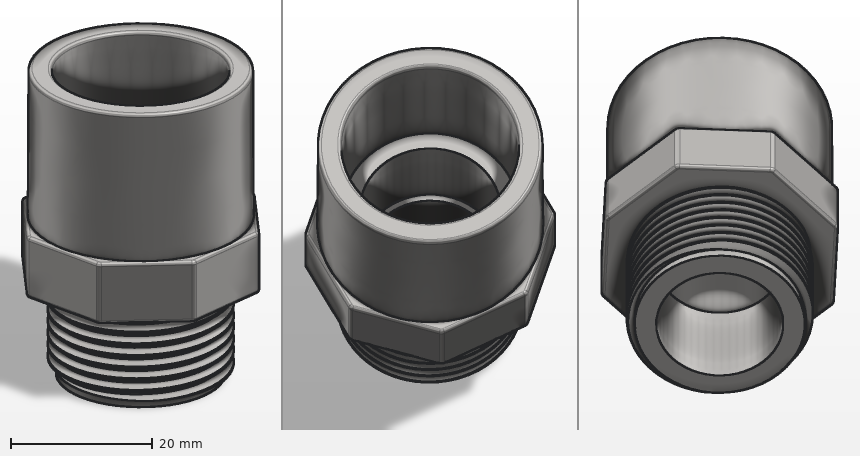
import cadquery as cq
import math

total_height = 47.3
hex_bottom = 15.05
hex_top = 24.5
thread_bottom = 1.45

across_flats = 33.0
octagon_sides = 8
corner_radius = 1.0
edge_radius = 0.5

sleeve_base_diameter = 32.1
sleeve_top_diameter = 31.95
socket_mouth_diameter = 25.2
socket_floor_diameter = 24.95
socket_depth = 18.9
rim_radius = edge_radius

counterbore_diameter = 20.0
bore_diameter = 18.0
counterbore_floor = hex_bottom

root_diameter = 24.1
crest_diameter = 26.45
crest_width = 0.3
flank_angle = 27.5
root_overlap = 0.15
first_crest_height = 1.5
last_crest_height = 14.2
turns_between_crests = 7
pitch = (last_crest_height - first_crest_height) / turns_between_crests
spigot_overlap = 0.25
core_margin = 4.75


def make_octagon():
    """Octagonal prism with rounded corners and rounded upper and lower edges."""
    across_corners = across_flats / math.cos(math.pi / octagon_sides)
    prism = (
        cq.Workplane("XY", origin=(0, 0, hex_bottom))
        .polygon(octagon_sides, across_corners)
        .extrude(hex_top - hex_bottom)
        .rotate((0, 0, 0), (0, 0, 1), 180 / octagon_sides)
    )
    prism = prism.edges("|Z").fillet(corner_radius)
    return prism.faces("<Z or >Z").edges().fillet(edge_radius)


def make_sleeve():
    """Slightly tapered sleeve with a rounded outer rim; its root lies inside the octagon."""
    sleeve_root = (hex_bottom + hex_top) / 2
    base_radius = sleeve_base_diameter / 2
    top_radius = sleeve_top_diameter / 2
    return (
        cq.Workplane("XZ")
        .moveTo(0, sleeve_root)
        .lineTo(base_radius, sleeve_root)
        .lineTo(base_radius, hex_top)
        .lineTo(top_radius, total_height)
        .lineTo(0, total_height)
        .close()
        .revolve(360, (0, 0, 0), (0, 1, 0))
        .faces(">Z")
        .edges()
        .fillet(rim_radius)
    )


def make_thread_ridge():
    """Helical ridge running past both ends of the thread."""
    crest_radius = crest_diameter / 2
    inner_radius = root_diameter / 2 - root_overlap
    ridge_height = crest_radius - inner_radius
    half_crest = crest_width / 2
    half_base = half_crest + ridge_height * math.tan(math.radians(flank_angle))

    start = first_crest_height - pitch
    turns = math.ceil((hex_bottom - start) / pitch) + 1
    helix = cq.Wire.makeHelix(pitch, turns * pitch, inner_radius, cq.Vector(0, 0, start))
    return (
        cq.Workplane("XZ")
        .moveTo(inner_radius, start - half_base)
        .lineTo(crest_radius, start - half_crest)
        .lineTo(crest_radius, start + half_crest)
        .lineTo(inner_radius, start + half_base)
        .close()
        .sweep(cq.Workplane(obj=helix), isFrenet=True)
    )


def make_threaded_spigot():
    """Threaded length that ends just inside the octagon, with a plain cylinder below it."""
    root_radius = root_diameter / 2
    spigot_top = hex_bottom + spigot_overlap
    core = (
        cq.Workplane("XY", origin=(0, 0, -core_margin))
        .circle(root_radius)
        .extrude(spigot_top + 2 * core_margin)
    )
    plain_end = cq.Workplane("XY").circle(root_radius).extrude(thread_bottom)
    threaded_length = (
        cq.Workplane("XY", origin=(0, 0, thread_bottom))
        .circle(across_flats / 2)
        .extrude(spigot_top - thread_bottom)
    )
    return core.union(make_thread_ridge()).intersect(threaded_length).union(plain_end)


def make_cavity():
    """Revolved void: rounded mouth, tapered socket, counterbore and through bore."""
    mouth_radius = socket_mouth_diameter / 2
    floor_radius = socket_floor_diameter / 2
    counterbore_radius = counterbore_diameter / 2
    bore_radius = bore_diameter / 2
    socket_floor = total_height - socket_depth
    arc_middle = rim_radius * (1 - math.sqrt(0.5))
    return (
        cq.Workplane("XZ")
        .moveTo(0, 0)
        .lineTo(bore_radius, 0)
        .lineTo(bore_radius, counterbore_floor)
        .lineTo(counterbore_radius, counterbore_floor)
        .lineTo(counterbore_radius, socket_floor)
        .lineTo(floor_radius, socket_floor)
        .lineTo(mouth_radius, total_height - rim_radius)
        .threePointArc(
            (mouth_radius + arc_middle, total_height - arc_middle),
            (mouth_radius + rim_radius, total_height),
        )
        .lineTo(0, total_height)
        .close()
        .revolve(360, (0, 0, 0), (0, 1, 0))
    )


body = make_octagon().union(make_sleeve()).union(make_threaded_spigot())
result = body.cut(make_cavity())